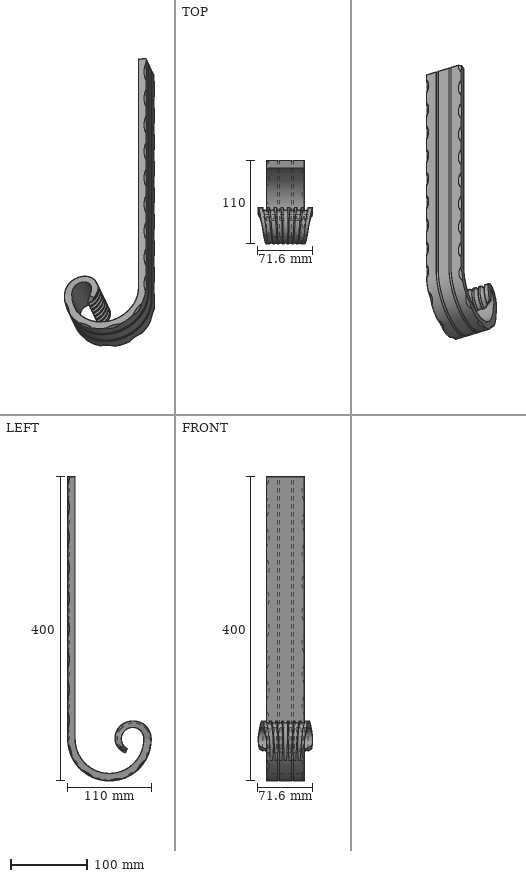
import math

import cadquery as cq


TOTAL_HEIGHT = 400.0
BAR_WIDTH = 50.0
BAR_THICKNESS = 10.0
BEND_RADIUS = 55.0
BEND_Z = BEND_RADIUS

CURL_START = 0.0
QUARTER_TURN = 90.0
HALF_TURN = 180.0
CURL_RADIUS = 24.0
TOP_INNER_RADIUS = 15.2
TIP_OUTER_RADIUS = 20.8
TIP_INNER_RADIUS = 14.8
CURL_Y = CURL_RADIUS - BEND_RADIUS
TIP_WIDTH_MAX = 71.58
SHOULDER_WIDTH = 69.5
TIP_END_WIDTH = 51.0
FLARE_END = 171.0
SHOULDER_START = 189.0
CORNER_START = 214.0
TIP_END = 240.0
WIDTH_STATIONS = [
    (CURL_START, BAR_WIDTH),
    (FLARE_END, TIP_WIDTH_MAX),
    (SHOULDER_START, TIP_WIDTH_MAX),
    (CORNER_START, SHOULDER_WIDTH),
    (TIP_END, TIP_END_WIDTH),
]
OUTER_STATIONS = [
    (CURL_START, CURL_RADIUS),
    (HALF_TURN, CURL_RADIUS),
    (TIP_END, TIP_OUTER_RADIUS),
]
INNER_STATIONS = [
    (CURL_START, CURL_RADIUS - BAR_THICKNESS),
    (QUARTER_TURN, TOP_INNER_RADIUS),
    (HALF_TURN, TOP_INNER_RADIUS),
    (TIP_END, TIP_INNER_RADIUS),
]

POINTS_PER_BLOCK = 7
TRIM_INNER_RADIUS = 8.0
TRIM_OUTER_RADIUS = 30.0

FLUTE_COUNT = 7
FLUTE_RADIUS = 3.05
FLUTE_START = -30.0
FLUTE_OVERRUN = 10.0
FLUTE_END = TIP_END + FLUTE_OVERRUN
FLUTE_PATH_STEPS = 10
FLUTE_DEPTH_STATIONS = [
    (FLUTE_START, 0.5),
    (CURL_START, 1.5),
    (QUARTER_TURN, 3.0),
    (HALF_TURN, 3.5),
    (FLUTE_END, 3.0),
]

GROOVE_X = 9.2
GROOVE_WIDTH = 3.0
GROOVE_DEPTH = 0.5

DENT_PITCH = 40.0
DENT_HALF_LENGTH = 12.5
DENT_SIDE_DEPTH = 2.4
DENT_BACK_DEPTH = 3.5
DENT_COUNT = 13


def interpolate(stations, angle):
    """Piecewise linear value at an angle, held constant beyond the end stations."""
    if angle <= stations[0][0]:
        return stations[0][1]
    for (start, first), (end, last) in zip(stations, stations[1:]):
        if angle <= end:
            return first + (last - first) * (angle - start) / (end - start)
    return stations[-1][1]


def curl_point(x, radius, angle):
    """Point at a given distance from the curl axis."""
    turn = math.radians(angle)
    return cq.Vector(x, CURL_Y - radius * math.cos(turn), BEND_Z + radius * math.sin(turn))


def bend_point(x, radius, angle):
    """Point at a given distance from the big bend axis; the bend runs from -180 to 0 degrees."""
    turn = math.radians(angle)
    return cq.Vector(x, -radius * math.cos(turn), BEND_Z + radius * math.sin(turn))


def back_band(depth, width, end_angle):
    """Layer of the bar and big bend, measured inward from the back face."""
    def rim(radius, angle):
        point = bend_point(0, radius, angle)
        return point.y, point.z

    inner = BEND_RADIUS - depth
    middle = (end_angle - HALF_TURN) / 2
    return (
        cq.Workplane("YZ")
        .moveTo(BEND_RADIUS, TOTAL_HEIGHT)
        .lineTo(BEND_RADIUS, BEND_Z)
        .threePointArc(rim(BEND_RADIUS, middle), rim(BEND_RADIUS, end_angle))
        .lineTo(*rim(inner, end_angle))
        .threePointArc(rim(inner, middle), (inner, BEND_Z))
        .lineTo(inner, TOTAL_HEIGHT)
        .close()
        .extrude(width / 2, both=True)
    )


def full_width_curl():
    """Curl at full width, thinning toward its tip."""
    def rim(stations, angle):
        point = curl_point(0, interpolate(stations, angle), angle)
        return point.y, point.z

    tip_middle = (HALF_TURN + TIP_END) / 2
    return (
        cq.Workplane("YZ")
        .moveTo(*rim(OUTER_STATIONS, CURL_START))
        .threePointArc(rim(OUTER_STATIONS, QUARTER_TURN), rim(OUTER_STATIONS, HALF_TURN))
        .threePointArc(rim(OUTER_STATIONS, tip_middle), rim(OUTER_STATIONS, TIP_END))
        .lineTo(*rim(INNER_STATIONS, TIP_END))
        .threePointArc(rim(INNER_STATIONS, tip_middle), rim(INNER_STATIONS, HALF_TURN))
        .threePointArc(rim(INNER_STATIONS, QUARTER_TURN), rim(INNER_STATIONS, CURL_START))
        .close()
        .extrude(TIP_WIDTH_MAX / 2, both=True)
    )


def trim_block(start, end):
    """Thick ring sector between two angles whose sides follow the width of the strip."""
    def edge(side, radius):
        points = []
        for i in range(POINTS_PER_BLOCK):
            angle = start + (end - start) * i / (POINTS_PER_BLOCK - 1)
            points.append(curl_point(side * interpolate(WIDTH_STATIONS, angle) / 2, radius, angle))
        return cq.Edge.makeSpline(points)

    corners = [
        (-1, TRIM_OUTER_RADIUS),
        (1, TRIM_OUTER_RADIUS),
        (1, TRIM_INNER_RADIUS),
        (-1, TRIM_INNER_RADIUS),
    ]
    rails = [edge(side, radius) for side, radius in corners]
    faces = [cq.Face.makeRuledSurface(rails[i - 1], rails[i]) for i in range(len(rails))]
    for ring in ([rail.startPoint() for rail in rails], [rail.endPoint() for rail in rails]):
        faces.append(cq.Face.makeFromWires(cq.Wire.makePolygon(ring, close=True)))
    block = cq.Solid.makeSolid(cq.Shell.makeShell(faces))
    return block.fix()


def flute(index):
    """Round-bottomed cutter that fans out with the strip and deepens along the curl."""
    points = []
    for i in range(FLUTE_PATH_STEPS + 1):
        angle = FLUTE_START + (FLUTE_END - FLUTE_START) * i / FLUTE_PATH_STEPS
        x = index * interpolate(WIDTH_STATIONS, min(angle, FLARE_END)) / (FLUTE_COUNT + 1)
        clearance = FLUTE_RADIUS - interpolate(FLUTE_DEPTH_STATIONS, angle)
        if angle < CURL_START:
            points.append(bend_point(x, BEND_RADIUS + clearance, angle))
        else:
            points.append(curl_point(x, interpolate(OUTER_STATIONS, angle) + clearance, angle))
    path = cq.Workplane(cq.Wire.assembleEdges([cq.Edge.makeSpline(points)]))
    start_plane = cq.Plane(origin=points[0], xDir=(1, 0, 0), normal=points[1] - points[0])
    return cq.Workplane(start_plane).circle(FLUTE_RADIUS).sweep(path)


def dent(side, distance):
    """Ball cutter over a back edge, at a distance along the bar from its top end."""
    out_back = (DENT_HALF_LENGTH**2 - DENT_SIDE_DEPTH**2) / (2 * DENT_SIDE_DEPTH)
    out_side = (DENT_HALF_LENGTH**2 - DENT_BACK_DEPTH**2) / (2 * DENT_BACK_DEPTH)
    ball_radius = math.hypot(out_back, out_side, DENT_HALF_LENGTH)
    x = side * (BAR_WIDTH / 2 + out_side)
    straight = TOTAL_HEIGHT - BEND_Z
    if distance <= straight:
        center = cq.Vector(x, BEND_RADIUS + out_back, TOTAL_HEIGHT - distance)
    else:
        angle = -HALF_TURN + math.degrees((distance - straight) / BEND_RADIUS)
        center = bend_point(x, BEND_RADIUS + out_back, angle)
    return cq.Workplane("XY").sphere(ball_radius).translate(center)


bar = back_band(BAR_THICKNESS, BAR_WIDTH, CURL_START)
for i in range(DENT_COUNT):
    bar = bar.cut(dent(-1, i * DENT_PITCH))
    bar = bar.cut(dent(1, (i + 0.5) * DENT_PITCH))

groove = back_band(GROOVE_DEPTH, GROOVE_WIDTH, FLUTE_START)
for side in (-1, 1):
    bar = bar.cut(groove.translate((side * GROOVE_X, 0, 0)))

trim = cq.Workplane("XY")
for (block_start, _), (block_end, _) in zip(WIDTH_STATIONS, WIDTH_STATIONS[1:]):
    trim = trim.add(trim_block(block_start, block_end))
curl = full_width_curl().intersect(trim.combine())
hook = bar.union(curl)

flutes = [flute(i - (FLUTE_COUNT - 1) / 2).val() for i in range(FLUTE_COUNT)]
fluted_hook = hook.val().cut(*flutes)

result = cq.Workplane(fluted_hook.Solids()[0])